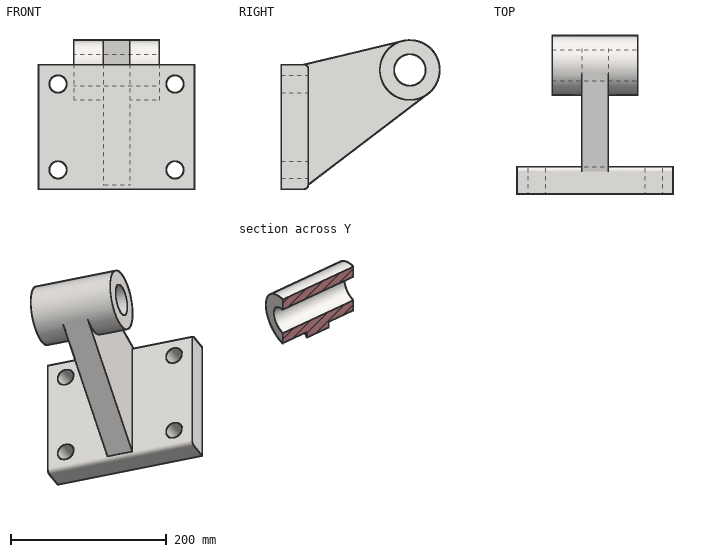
import cadquery as cq
import math

plate_width = 200.0
plate_height = 160.0
plate_thickness = 35.0
edge_radius = 6.0
bolt_diameter = 22.0
bolt_spacing_x = 150.0
bolt_spacing_z = 110.0

overall_depth = 203.5
overall_height = 191.5
boss_diameter = 77.0
boss_length = 110.0
bore_diameter = 40.0
boss_radius = boss_diameter / 2
boss_y = overall_depth - boss_radius
boss_z = overall_height - boss_radius

rib_thickness = 34.2
rib_inset = 0.1
rib_end_radius = boss_radius - rib_inset


def tangent_point(start, side):
    """Touch point on the rib end circle of a line from start; side is +1 above, -1 below."""
    dy = start[0] - boss_y
    dz = start[1] - boss_z
    toward_start = math.atan2(dz, dy)
    angle = toward_start - side * math.acos(rib_end_radius / math.hypot(dy, dz))
    return (boss_y + rib_end_radius * math.cos(angle), boss_z + rib_end_radius * math.sin(angle))


def x_cylinder(diameter, length):
    """Cylinder on the boss axis, centred on X = 0."""
    return (
        cq.Workplane("YZ")
        .center(boss_y, boss_z)
        .circle(diameter / 2)
        .extrude(length / 2, both=True)
    )


def make_plate():
    plate = cq.Workplane("XY").box(
        plate_width, plate_thickness, plate_height, centered=(True, False, False)
    )
    plate = plate.faces(">Y").edges("|X").fillet(edge_radius)
    bolts = (
        cq.Workplane("XZ")
        .center(0, plate_height / 2)
        .rarray(bolt_spacing_x, bolt_spacing_z, 2, 2)
        .circle(bolt_diameter / 2)
        .extrude(-plate_thickness)
    )
    return plate.cut(bolts)


def make_rib():
    rounding_start = plate_thickness - edge_radius
    top = (rounding_start, plate_height)
    bottom = (plate_thickness, edge_radius)
    outline = [
        (rounding_start, edge_radius),
        bottom,
        tangent_point(bottom, -1),
        (boss_y, boss_z),
        tangent_point(top, 1),
        top,
    ]
    return cq.Workplane("YZ").polyline(outline).close().extrude(rib_thickness / 2, both=True)


boss = x_cylinder(boss_diameter, boss_length)
bore = x_cylinder(bore_diameter, boss_length)
result = make_plate().union(make_rib()).union(boss).cut(bore)